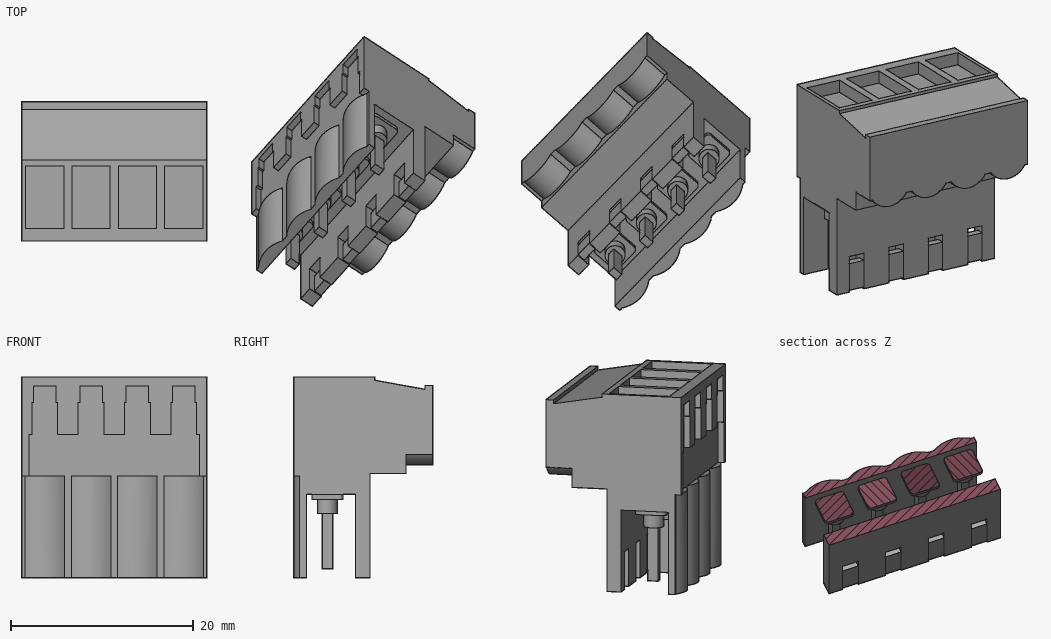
import cadquery as cq

WIDTH = 20.33
DEPTH = 15.3
HEIGHT = 22.05

POLES = 4
PITCH = WIDTH / POLES
POLE_CENTRES = [(i - (POLES - 1) / 2) * PITCH for i in range(POLES)]

BLOCK_DEPTH = 8.93
SLOPE_TOP_Z = 21.7
SLOPE_LOW_Z = 20.7
LIP_THICKNESS = 0.88
LIP_Z = 21.12

REAR_STEP_Y = 12.35
REAR_BOTTOM_Z = 13.55
MIDDLE_BOTTOM_Z = 11.45

FRONT_WALL_BACK_Y = 1.43
LEG_FRONT_Y = 6.8
LEG_BACK_Y = 8.4
CAVITY_TOP_Z = 9.17

FRONT_RECESS_DEPTH = 0.68
RIB_CHORD = 4.35
RIB_TOP_Z = 11.15
REAR_RIB_HEIGHT = 1.17

RECESS_WIDTH = 18.65
RECESS_BAND_TOP_Z = 15.72
FINGER_WIDTH = 2.85
FINGER_TOP_Z = 19.25
FINGER_TIP_WIDTH = 2.47
FINGER_TIP_TOP_Z = 21.04

POCKET_WIDTH = 4.2
POCKET_FRONT_Y = 1.41
POCKET_BACK_Y = 8.22
POCKET_DEPTH = 1.43

SLOT_WIDTH = 1.85
SLOT_HEIGHT = 4.23
PLATE_SETBACK = 0.68
PLATE_BOTTOM_Z = 0.22
PLATE_TOP_Z = 3.37

PIN_Y = 3.73
COLLAR_SIZE = 3.45
COLLAR_CORNER_RADIUS = 0.45
COLLAR_BOTTOM_Z = 8.6
SHANK_DIAMETER = 2.2
SHANK_BOTTOM_Z = 7.05
BLADE_WIDTH = 0.88
BLADE_THICKNESS = 1.2
BLADE_BOTTOM_Z = 1.0


def block(x_centre, x_size, y_min, y_max, z_min, z_max):
    """Rectangular block centred on x_centre."""
    return (
        cq.Workplane("XY")
        .box(x_size, y_max - y_min, z_max - z_min, centered=(True, False, False))
        .translate((x_centre, y_min, z_min))
    )


def housing_body():
    """Side profile extruded across the full width."""
    profile = [
        (0, 0),
        (FRONT_WALL_BACK_Y, 0),
        (FRONT_WALL_BACK_Y, CAVITY_TOP_Z),
        (LEG_FRONT_Y, CAVITY_TOP_Z),
        (LEG_FRONT_Y, 0),
        (LEG_BACK_Y, 0),
        (LEG_BACK_Y, MIDDLE_BOTTOM_Z),
        (REAR_STEP_Y, MIDDLE_BOTTOM_Z),
        (REAR_STEP_Y, REAR_BOTTOM_Z),
        (DEPTH, REAR_BOTTOM_Z),
        (DEPTH, LIP_Z),
        (DEPTH - LIP_THICKNESS, LIP_Z),
        (DEPTH - LIP_THICKNESS, SLOPE_LOW_Z),
        (BLOCK_DEPTH, SLOPE_TOP_Z),
        (BLOCK_DEPTH, HEIGHT),
        (0, HEIGHT),
    ]
    return cq.Workplane("YZ").polyline(profile).close().extrude(WIDTH / 2, both=True)


def front_recess():
    """Shallow cut in the front face: full-width base, wide band and stepped fingers."""
    recess = block(0, WIDTH, 0, FRONT_RECESS_DEPTH, 0, RIB_TOP_Z)
    recess = recess.union(block(0, RECESS_WIDTH, 0, FRONT_RECESS_DEPTH, RIB_TOP_Z, RECESS_BAND_TOP_Z))
    for x in POLE_CENTRES:
        finger = block(x, FINGER_WIDTH, 0, FRONT_RECESS_DEPTH, RECESS_BAND_TOP_Z, FINGER_TOP_Z)
        tip = block(x, FINGER_TIP_WIDTH, 0, FRONT_RECESS_DEPTH, FINGER_TOP_Z, FINGER_TIP_TOP_Z)
        recess = recess.union(finger).union(tip)
    return recess


def front_rib(x):
    """Vertical rounded rib whose crown is flush with the front face."""
    return (
        cq.Workplane("XY")
        .moveTo(x - RIB_CHORD / 2, FRONT_RECESS_DEPTH)
        .threePointArc((x, 0), (x + RIB_CHORD / 2, FRONT_RECESS_DEPTH))
        .close()
        .extrude(RIB_TOP_Z)
    )


def rear_rib(x):
    """Rounded rib running along Y beneath the rear overhang."""
    return (
        cq.Workplane("XZ", origin=(0, DEPTH, 0))
        .moveTo(x - RIB_CHORD / 2, REAR_BOTTOM_Z)
        .threePointArc((x, REAR_BOTTOM_Z - REAR_RIB_HEIGHT), (x + RIB_CHORD / 2, REAR_BOTTOM_Z))
        .close()
        .extrude(DEPTH - REAR_STEP_Y)
    )


def make_housing():
    housing = housing_body().cut(front_recess())
    for x in POLE_CENTRES:
        pocket = block(x, POCKET_WIDTH, POCKET_FRONT_Y, POCKET_BACK_Y, HEIGHT - POCKET_DEPTH, HEIGHT)
        slot = block(x, SLOT_WIDTH, LEG_FRONT_Y, LEG_BACK_Y, 0, SLOT_HEIGHT)
        housing = housing.union(front_rib(x)).union(rear_rib(x)).cut(pocket).cut(slot)
    return housing


def make_contact_pin(x):
    """Collar seated against the cavity ceiling, round shank and rectangular blade."""
    collar_half = COLLAR_SIZE / 2
    collar = block(x, COLLAR_SIZE, PIN_Y - collar_half, PIN_Y + collar_half, COLLAR_BOTTOM_Z, CAVITY_TOP_Z)
    collar = collar.edges("|Z").fillet(COLLAR_CORNER_RADIUS)
    shank = (
        cq.Workplane("XY", origin=(x, PIN_Y, SHANK_BOTTOM_Z))
        .circle(SHANK_DIAMETER / 2)
        .extrude(COLLAR_BOTTOM_Z - SHANK_BOTTOM_Z)
    )
    blade_half = BLADE_THICKNESS / 2
    blade = block(x, BLADE_WIDTH, PIN_Y - blade_half, PIN_Y + blade_half, BLADE_BOTTOM_Z, SHANK_BOTTOM_Z)
    return collar.union(shank).union(blade)


def make_coding_plate(x):
    """Plate spanning a coding slot, flush with the back of the rear leg."""
    return block(x, SLOT_WIDTH, LEG_FRONT_Y + PLATE_SETBACK, LEG_BACK_Y, PLATE_BOTTOM_Z, PLATE_TOP_Z)


housing = make_housing()
contact_pins = [make_contact_pin(x) for x in POLE_CENTRES]
coding_plates = [make_coding_plate(x) for x in POLE_CENTRES]

result = cq.Compound.makeCompound(
    [
        housing.val(),
        *[pin.val() for pin in contact_pins],
        *[plate.val() for plate in coding_plates],
    ]
)